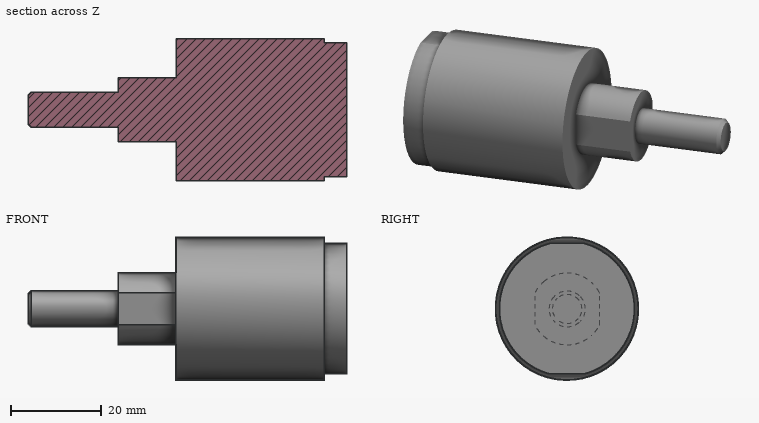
import cadquery as cq

stud_length = 20.0
neck_length = 12.8
body_length = 33.0
cap_length = 5.0

stud_diameter = 8.0
stud_chamfer = 0.75
neck_diameter = 16.0
neck_across_flats = 14.3
body_diameter = 31.75
cap_diameter = 30.0
cap_across_flats = 29.0

neck_start = 0.0
body_start = neck_start + neck_length
cap_start = body_start + body_length


def cylinder(start, length, diameter):
    """Round bar along +X, beginning at X = start."""
    return cq.Workplane("YZ", origin=(start, 0, 0)).circle(diameter / 2).extrude(length)


def flatted_cylinder(start, length, diameter, width_y, width_z):
    """Round bar along +X, trimmed to the given widths in Y and Z."""
    envelope = cq.Workplane("YZ", origin=(start, 0, 0)).rect(width_y, width_z).extrude(length)
    return cylinder(start, length, diameter).intersect(envelope)


stud = cylinder(neck_start - stud_length, stud_length, stud_diameter)
stud = stud.faces("<X").chamfer(stud_chamfer)

neck = flatted_cylinder(neck_start, neck_length, neck_diameter, neck_across_flats, neck_diameter)

body = cylinder(body_start, body_length, body_diameter)

cap = flatted_cylinder(cap_start, cap_length, cap_diameter, cap_diameter, cap_across_flats)

result = stud.union(neck).union(body).union(cap)